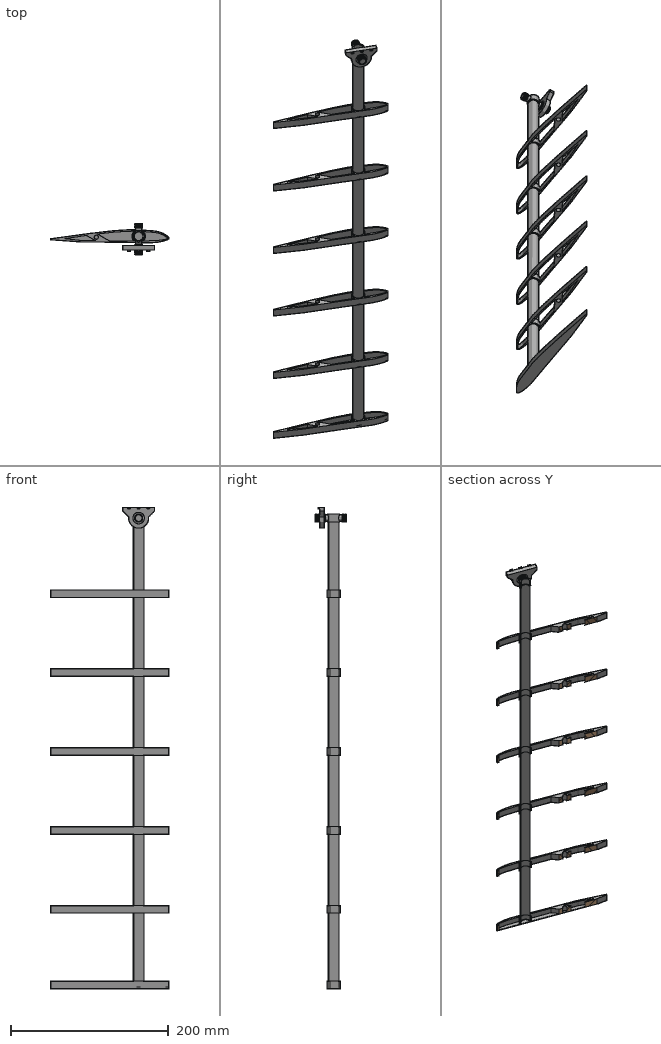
import cadquery as cq
TOTAL_HEIGHT = 610.0
RIB_HEIGHT = 10.0
RIB_PITCH = 100.0
LOWEST_OPEN_RIB_Z = 96.0
OPEN_RIB_COUNT = 5

NOSE = (38.5, -2.5)
TRAILING_X = -111.5
TRAILING_TOP = (TRAILING_X, -3.0)
TRAILING_BOTTOM = (TRAILING_X, -4.6)
UPPER_SURFACE = [(31.0, 3.5), (14.5, 7.5), (-5.0, 8.5), (-30.5, 7.5), (-62.0, 3.5)]
LOWER_SURFACE = [(-73.0, -7.5), (-36.5, -8.0), (0.0, -8.0), (29.0, -7.0)]

SKIN = 2.0
CAVITY_TAIL = (-93.5, -3.0)
END_FLOOR = 2.0
SPAR_BOSS_DIAMETER = 17.0

STRUT_CENTRE = (-53.5, -1.0)
STRUT_WIDTH = 8.5
STRUT_LENGTH = 36.5
STRUT_ANGLE = -30.0
STRUT_HOLE_DIAMETER = 5.2

SPAR_DIAMETER = 14.0
SPAR_BORE = 12.0

ARM_DIAMETER = 10.5
ARM_CORE_DIAMETER = 8.5
ARM_REAR_Y = 16.5
ARM_FRONT_Y = -24.0
THREAD_START = 10.0
THREAD_PITCH = 1.5
COLLAR_DIAMETER = 15.0
COLLAR_BORE = 11.0
COLLAR_HEIGHT = ARM_DIAMETER

ARM_DEPTH = 13.5
ARM_Z = TOTAL_HEIGHT - ARM_DEPTH
COLLAR_Z = ARM_Z - COLLAR_HEIGHT / 2

HORN_RADIUS = 13.0
HORN_WIDTH = 40.0
HORN_BACK_Y = -11.5
HORN_THICKNESS = 6.0
HORN_EDGE_HEIGHT = 4.6
KNUCKLE_DIAMETER = 3.95
KNUCKLE_HEIGHT = 2.0
KNUCKLE_HOLE_DIAMETER = 2.0
KNUCKLE_SPACING = 12.0
BUSH_DIAMETER = 14.5


def cylinder_z(diameter, height, z):
    return cq.Workplane("XY", origin=(0, 0, z)).circle(diameter / 2).extrude(height)


def cylinder_y(diameter, length, x, y_back, z):
    """Cylinder that runs from y_back towards -Y."""
    return cq.Workplane("XZ", origin=(x, y_back, z)).circle(diameter / 2).extrude(length)


def rib_outline():
    return (
        cq.Workplane("XY")
        .moveTo(*TRAILING_BOTTOM)
        .spline(LOWER_SURFACE + [NOSE] + UPPER_SURFACE + [TRAILING_TOP], includeCurrent=True)
        .close()
    )


def cavity_outline():
    """Inside of the skin: both surfaces moved inwards, tapering straight to a point at the tail."""
    upper = [(x, y - SKIN) for x, y in UPPER_SURFACE]
    lower = [(x, y + SKIN) for x, y in LOWER_SURFACE]
    nose = (NOSE[0] - SKIN, NOSE[1])
    return (
        cq.Workplane("XY")
        .moveTo(*lower[0])
        .spline(lower[1:] + [nose] + upper, includeCurrent=True)
        .lineTo(*CAVITY_TAIL)
        .close()
    )


def rib(z, floor=0.0):
    """Airfoil frame with a spar boss and a slanted strut; a floor closes its underside."""
    blank = rib_outline().extrude(RIB_HEIGHT)
    cavity = cavity_outline().extrude(RIB_HEIGHT - floor).translate((0, 0, floor))
    boss = cylinder_z(SPAR_BOSS_DIAMETER, RIB_HEIGHT, 0)
    strut = (
        cq.Workplane("XY")
        .rect(STRUT_LENGTH, STRUT_WIDTH)
        .extrude(RIB_HEIGHT)
        .rotate((0, 0, 0), (0, 0, 1), STRUT_ANGLE)
        .translate((*STRUT_CENTRE, 0))
    )
    strut_hole = cylinder_z(STRUT_HOLE_DIAMETER, RIB_HEIGHT, floor).translate((*STRUT_CENTRE, 0))
    spar_hole = cylinder_z(SPAR_DIAMETER, RIB_HEIGHT, floor)
    pockets = cavity.cut(boss).cut(strut)
    return blank.cut(pockets).cut(strut_hole).cut(spar_hole).translate((0, 0, z))


def spar():
    height = COLLAR_Z - END_FLOOR
    return cylinder_z(SPAR_DIAMETER, height, END_FLOOR).cut(cylinder_z(SPAR_BORE, height, END_FLOOR))


def threaded_arm(length):
    """Arm along +Y whose outer stretch carries ring-shaped thread ridges."""
    core = ARM_CORE_DIAMETER / 2
    crest = ARM_DIAMETER / 2
    ridge_count = round((length - THREAD_START) / THREAD_PITCH)
    profile = cq.Workplane("XY").lineTo(core, 0).lineTo(core, length - ridge_count * THREAD_PITCH)
    for index in range(ridge_count, 0, -1):
        ridge_end = length - (index - 1) * THREAD_PITCH
        profile = profile.lineTo(crest, ridge_end - THREAD_PITCH / 2).lineTo(core, ridge_end)
    return profile.lineTo(0, length).close().revolve(360, (0, 0, 0), (0, 1, 0))


def tee():
    rear_arm = threaded_arm(ARM_REAR_Y)
    front_arm = threaded_arm(-ARM_FRONT_Y).mirror("XZ")
    arms = rear_arm.union(front_arm).translate((0, 0, ARM_Z))
    collar = cylinder_z(COLLAR_DIAMETER, COLLAR_HEIGHT, COLLAR_Z)
    return arms.union(collar).cut(cylinder_z(COLLAR_BORE, COLLAR_HEIGHT, COLLAR_Z))


def horn():
    """Plate with a round lower end, 45 degree shoulders and three half-round knuckles on top."""
    half_width = HORN_WIDTH / 2
    edge_bottom = TOTAL_HEIGHT - HORN_EDGE_HEIGHT
    shoulder_x = half_width - (edge_bottom - ARM_Z)
    plate = (
        cq.Workplane("XZ", origin=(0, HORN_BACK_Y, 0))
        .moveTo(-half_width, TOTAL_HEIGHT)
        .lineTo(half_width, TOTAL_HEIGHT)
        .lineTo(half_width, edge_bottom)
        .lineTo(shoulder_x, ARM_Z)
        .lineTo(-shoulder_x, ARM_Z)
        .lineTo(-half_width, edge_bottom)
        .close()
        .extrude(HORN_THICKNESS)
    )
    body = plate.union(cylinder_y(2 * HORN_RADIUS, HORN_THICKNESS, 0, HORN_BACK_Y, ARM_Z))
    face_y = HORN_BACK_Y - HORN_THICKNESS
    for x in (-KNUCKLE_SPACING, 0, KNUCKLE_SPACING):
        body = body.union(cylinder_y(KNUCKLE_DIAMETER, KNUCKLE_HEIGHT, x, face_y, TOTAL_HEIGHT))
        body = body.cut(cylinder_y(KNUCKLE_HOLE_DIAMETER, KNUCKLE_HEIGHT, x, face_y, TOTAL_HEIGHT))
    above_top = cq.Workplane("XY", origin=(0, face_y, TOTAL_HEIGHT)).rect(HORN_WIDTH, HORN_WIDTH)
    body = body.cut(above_top.extrude(KNUCKLE_DIAMETER))
    return body.cut(cylinder_y(BUSH_DIAMETER, HORN_THICKNESS, 0, HORN_BACK_Y, ARM_Z))


def bush():
    sleeve = cylinder_y(BUSH_DIAMETER, HORN_THICKNESS, 0, HORN_BACK_Y, ARM_Z)
    return sleeve.cut(cylinder_y(ARM_DIAMETER, HORN_THICKNESS, 0, HORN_BACK_Y, ARM_Z))


end_rib = rib(0, END_FLOOR)
open_ribs = [rib(LOWEST_OPEN_RIB_Z + index * RIB_PITCH) for index in range(OPEN_RIB_COUNT)]

result = cq.Compound.makeCompound(
    [
        end_rib.val(),
        *[open_rib.val() for open_rib in open_ribs],
        spar().val(),
        tee().val(),
        horn().val(),
        bush().val(),
    ]
)